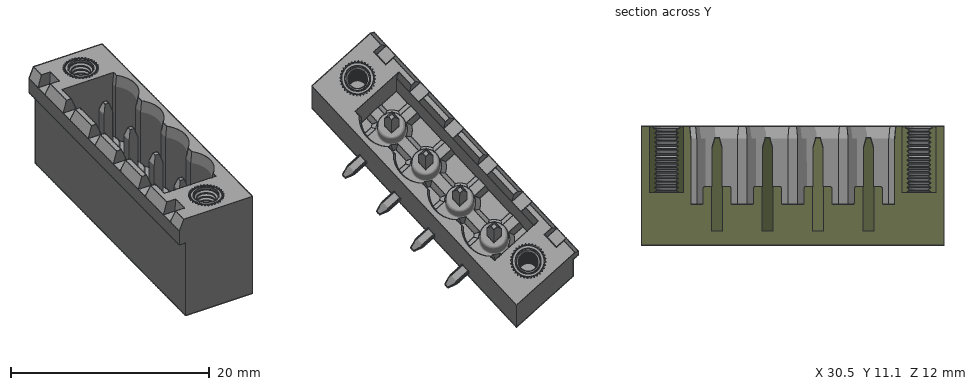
import cadquery as cq
import math

LENGTH = 30.48
HEIGHT = 12.0
BACK_Y = 3.93
LIP_Y = -4.57
LIP_OVERHANG = 0.73
LIP_THICKNESS = 3.02
LIP_CHAMFER_DEPTH = 0.52
LIP_CHAMFER_HEIGHT = 1.28
PIN_COUNT = 4
PITCH = LENGTH / (PIN_COUNT + 2)
PIN_X = [(i - (PIN_COUNT - 1) / 2) * PITCH for i in range(PIN_COUNT)]
SCREW_X = [PIN_X[0] - PITCH, PIN_X[-1] + PITCH]

CAVITY_HALF_LENGTH = 10.25
CAVITY_BACK = 2.3
CAVITY_FRONT = -3.05
CAVITY_FLOOR = 3.65
MOUTH_DEPTH = 1.28
MOUTH_END_FLARE = 0.12
MOUTH_BACK_FLARE = 0.18
MOUTH_FRONT_FLARE = 0.45

LOBE_Y = 0.37
LOBE_RADIUS = 2.8
LOBE_FLARE = 0.2

RIB_HEIGHT = 0.5
RIB_TOP = CAVITY_FLOOR + RIB_HEIGHT
RIB_SLOPE = 0.5
LONG_RIB_FRONT = -0.52
LONG_RIB_BACK = 0.55
BACK_RIB_WIDTH = 2.23
FRONT_RIB_WIDTH = 0.98
BOSS_RADIUS = 1.43
BOSS_HEIGHT = 1.83
BOSS_BASE_FILLET = 0.15
BOSS_TOP_FILLET = 0.27

SLOT_DEPTH = LIP_CHAMFER_HEIGHT
SLOT_FLOOR_WIDTH = 1.37
SLOT_FLARE = 0.2
SCREW_SLOT_BACK = -3.23

PIN_SIZE = 1.05
PIN_TIP_SIZE = 0.45
PIN_TIP_LENGTH = 1.0
PIN_TOP = 10.85
TAIL_END = 6.52
TAIL_Z = 1.98
TAIL_EDGE_CHAMFER = 0.12

KNURL_ROOT_RADIUS = 1.6
KNURL_TIP_RADIUS = 1.8
KNURL_TEETH = 32
KNURL_SETBACK = 0.1
BORE_MOUTH_RADIUS = 1.3
BORE_MOUTH_DEPTH = 0.25
THREAD_ROOT_RADIUS = 1.2
THREAD_CREST_RADIUS = 0.98
THREAD_PITCH = 0.45
THREAD_CREST_WIDTH = 0.12
THREAD_TURNS = 14
INSERT_LENGTH = THREAD_PITCH * THREAD_TURNS + BORE_MOUTH_DEPTH
INSERT_BOTTOM = HEIGHT - INSERT_LENGTH


def tapered_block(bottom, top, z_bottom, z_top):
    """Block between two rectangles, each given as (x_min, x_max, y_min, y_max)."""
    wires = []
    for (x_min, x_max, y_min, y_max), z in ((bottom, z_bottom), (top, z_top)):
        corners = [(x_min, y_min, z), (x_max, y_min, z), (x_max, y_max, z), (x_min, y_max, z)]
        wires.append(cq.Wire.makePolygon([cq.Vector(*c) for c in corners], close=True))
    return cq.Workplane(cq.Solid.makeLoft(wires, True))


def straight_block(outline, z_bottom, z_top):
    """Upright block over a rectangle given as (x_min, x_max, y_min, y_max)."""
    x_min, x_max, y_min, y_max = outline
    size = (x_max - x_min, y_max - y_min, z_top - z_bottom)
    return cq.Workplane("XY").box(*size, centered=False).translate((x_min, y_min, z_bottom))


def make_shell():
    """Solid block with the overhanging, chamfered lip along its front."""
    body_front = LIP_Y + LIP_OVERHANG
    lip_bottom = HEIGHT - LIP_THICKNESS
    profile = [
        (BACK_Y, 0),
        (BACK_Y, HEIGHT),
        (LIP_Y + LIP_CHAMFER_DEPTH, HEIGHT),
        (LIP_Y, HEIGHT - LIP_CHAMFER_HEIGHT),
        (LIP_Y, lip_bottom),
        (body_front, lip_bottom),
        (body_front, 0),
    ]
    return cq.Workplane("YZ").polyline(profile).close().extrude(LENGTH / 2, both=True)


def make_cavity():
    """Open space inside the housing: rectangular well plus the lobes."""
    mouth_bottom = HEIGHT - MOUTH_DEPTH
    outline = (-CAVITY_HALF_LENGTH, CAVITY_HALF_LENGTH, CAVITY_FRONT, CAVITY_BACK)
    flared = (
        -CAVITY_HALF_LENGTH - MOUTH_END_FLARE,
        CAVITY_HALF_LENGTH + MOUTH_END_FLARE,
        CAVITY_FRONT - MOUTH_FRONT_FLARE,
        CAVITY_BACK + MOUTH_BACK_FLARE,
    )
    cavity = straight_block(outline, CAVITY_FLOOR, mouth_bottom)
    cavity = cavity.union(tapered_block(outline, flared, mouth_bottom, HEIGHT))
    behind_well = straight_block((-LENGTH / 2, LENGTH / 2, CAVITY_BACK, BACK_Y), 0, HEIGHT)
    for x in PIN_X:
        barrel = cq.Workplane("XY").circle(LOBE_RADIUS).extrude(mouth_bottom - RIB_TOP)
        barrel = barrel.translate((x, LOBE_Y, RIB_TOP))
        flare_base = cq.Vector(x, LOBE_Y, mouth_bottom)
        flare = cq.Workplane(
            cq.Solid.makeCone(LOBE_RADIUS, LOBE_RADIUS + LOBE_FLARE, MOUTH_DEPTH, flare_base)
        )
        cavity = cavity.union(barrel.union(flare).intersect(behind_well))
    return cavity


def make_floor_ribs():
    """Ribs with sloping sides: one along X, and one across X at each pin."""
    long_top = (-CAVITY_HALF_LENGTH, CAVITY_HALF_LENGTH, LONG_RIB_FRONT, LONG_RIB_BACK)
    long_bottom = (
        -CAVITY_HALF_LENGTH,
        CAVITY_HALF_LENGTH,
        LONG_RIB_FRONT - RIB_SLOPE,
        LONG_RIB_BACK + RIB_SLOPE,
    )
    ribs = tapered_block(long_bottom, long_top, CAVITY_FLOOR, RIB_TOP)
    for x in PIN_X:
        for width, y_min, y_max in ((BACK_RIB_WIDTH, 0, CAVITY_BACK), (FRONT_RIB_WIDTH, CAVITY_FRONT, 0)):
            half = width / 2
            top = (x - half, x + half, y_min, y_max)
            bottom = (x - half - RIB_SLOPE, x + half + RIB_SLOPE, y_min, y_max)
            ribs = ribs.union(tapered_block(bottom, top, CAVITY_FLOOR, RIB_TOP))
    return ribs


def make_boss(x):
    """Round boss around a pin: sloping foot, filleted base and rounded top edge."""
    base_radius = BOSS_RADIUS + BOSS_BASE_FILLET
    boss_top = RIB_TOP + BOSS_HEIGHT
    diagonal = math.sqrt(0.5)
    base_arc_mid = (
        base_radius - BOSS_BASE_FILLET * diagonal,
        RIB_TOP + BOSS_BASE_FILLET * (1 - diagonal),
    )
    top_arc_mid = (
        BOSS_RADIUS - BOSS_TOP_FILLET * (1 - diagonal),
        boss_top - BOSS_TOP_FILLET * (1 - diagonal),
    )
    boss = (
        cq.Workplane("XZ")
        .moveTo(0, CAVITY_FLOOR)
        .lineTo(base_radius + RIB_SLOPE, CAVITY_FLOOR)
        .lineTo(base_radius, RIB_TOP)
        .threePointArc(base_arc_mid, (BOSS_RADIUS, RIB_TOP + BOSS_BASE_FILLET))
        .lineTo(BOSS_RADIUS, boss_top - BOSS_TOP_FILLET)
        .threePointArc(top_arc_mid, (BOSS_RADIUS - BOSS_TOP_FILLET, boss_top))
        .lineTo(0, boss_top)
        .close()
        .revolve(360, (0, 0), (0, 1))
    )
    return boss.translate((x, 0, 0))


def make_slot(x, floor_back, back_flare):
    """Flared slot, open at the front and at the top."""
    half = SLOT_FLOOR_WIDTH / 2
    bottom = (x - half, x + half, LIP_Y, floor_back)
    top = (x - half - SLOT_FLARE, x + half + SLOT_FLARE, LIP_Y, floor_back + back_flare)
    return tapered_block(bottom, top, HEIGHT - SLOT_DEPTH, HEIGHT)


def make_pin(x):
    """Upright contact post bent at its foot into a tail that leaves through the back."""
    half = PIN_SIZE / 2
    tip_half = PIN_TIP_SIZE / 2
    tail_bottom = TAIL_Z - half
    square = (-half, half, -half, half)
    tip = (-tip_half, tip_half, -tip_half, tip_half)

    def pointed_bar(length):
        shoulder = length - PIN_TIP_LENGTH
        return straight_block(square, 0, shoulder).union(tapered_block(square, tip, shoulder, length))

    post = pointed_bar(PIN_TOP - tail_bottom).translate((0, 0, tail_bottom))
    tail_envelope = straight_block(square, 0, TAIL_END).edges("|Z").chamfer(TAIL_EDGE_CHAMFER)
    tail = pointed_bar(TAIL_END).intersect(tail_envelope)
    tail = tail.rotate((0, 0, 0), (1, 0, 0), -90).translate((0, 0, TAIL_Z))
    return post.union(tail).translate((x, 0, 0))


def make_knurled_plug(x, knurl_length):
    """Plug with pointed teeth around it, standing on the bottom of the insert pocket."""
    outline = []
    for i in range(2 * KNURL_TEETH):
        radius = KNURL_TIP_RADIUS if i % 2 == 0 else KNURL_ROOT_RADIUS
        angle = math.pi * i / KNURL_TEETH
        outline.append((radius * math.cos(angle), radius * math.sin(angle)))
    plug = cq.Workplane("XY").polyline(outline).close().extrude(knurl_length)
    return plug.translate((x, 0, INSERT_BOTTOM))


def make_core(x):
    """Plain round core of an insert, over its full length."""
    core = cq.Workplane("XY").circle(KNURL_ROOT_RADIUS).extrude(INSERT_LENGTH)
    return core.translate((x, 0, INSERT_BOTTOM))


def make_thread_bore(x):
    """Bore with a plain mouth and a ring groove with sloping flanks for each thread turn."""
    profile = [(0, INSERT_BOTTOM), (THREAD_ROOT_RADIUS, INSERT_BOTTOM)]
    for turn in range(THREAD_TURNS):
        z = INSERT_BOTTOM + turn * THREAD_PITCH
        profile.append((THREAD_CREST_RADIUS, z + (THREAD_PITCH - THREAD_CREST_WIDTH) / 2))
        profile.append((THREAD_CREST_RADIUS, z + (THREAD_PITCH + THREAD_CREST_WIDTH) / 2))
        profile.append((THREAD_ROOT_RADIUS, z + THREAD_PITCH))
    profile.append((BORE_MOUTH_RADIUS, HEIGHT - BORE_MOUTH_DEPTH))
    profile.append((BORE_MOUTH_RADIUS, HEIGHT))
    profile.append((0, HEIGHT))
    bore = cq.Workplane("XZ").polyline(profile).close().revolve(360, (0, 0), (0, 1))
    return bore.translate((x, 0, 0))


def make_insert(x):
    """Threaded insert: the knurl stops just short of the round top face."""
    plug = make_knurled_plug(x, INSERT_LENGTH - KNURL_SETBACK).union(make_core(x))
    return plug.cut(make_thread_bore(x))


def make_housing(pins):
    """Housing with a matching opening for every pin and a knurled pocket for every insert."""
    housing = make_shell().cut(make_cavity()).union(make_floor_ribs())
    for x in PIN_X:
        housing = housing.union(make_boss(x))
        housing = housing.cut(make_slot(x, CAVITY_FRONT, 0))
    for x in SCREW_X:
        housing = housing.cut(make_slot(x, SCREW_SLOT_BACK, SLOT_FLARE))
        housing = housing.cut(make_knurled_plug(x, INSERT_LENGTH)).cut(make_core(x))
    for pin in pins:
        housing = housing.cut(pin)
    return housing


pins = [make_pin(x) for x in PIN_X]
inserts = [make_insert(x) for x in SCREW_X]
housing = make_housing(pins)

result = cq.Compound.makeCompound(
    [housing.val()] + [pin.val() for pin in pins] + [insert.val() for insert in inserts]
)